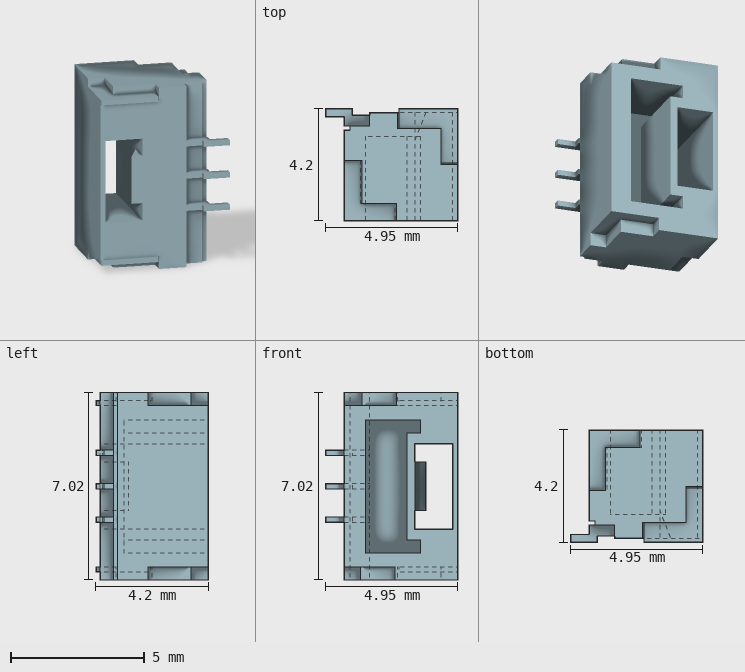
import cadquery as cq

HOUSING_WIDTH = 4.255
HOUSING_DEPTH = 4.05
HEIGHT = 7.02
MID_Z = HEIGHT / 2
OPENING_MID_Z = 3.5

NOTCH_DEPTH = 0.49
FRONT_NOTCH_WIDTH = 1.95
FRONT_NOTCH_LENGTH = 2.25
FRONT_NOTCH_SIDE_ARM = 0.67
FRONT_NOTCH_FRONT_ARM = 0.645
BOTTOM_NOTCH_SHIFT = 0.05
REAR_NOTCH_X = 1.995
REAR_NOTCH_Y = 2.105
REAR_NOTCH_INNER_X = 3.615
REAR_NOTCH_INNER_Y = 3.455

TAB_THICKNESS = 0.18
TAB_CLEARANCE = 0.053
MOUNTING_Y = 4.2

STEP_X = 0.95
STEP_Y = 3.545
GROOVE_X = 0.21
GROOVE_Y = 3.4

POCKET_LEFT = 0.79
POCKET_RIGHT = 2.85
POCKET_HEIGHT = 4.985
POCKET_DEPTH = 3.16
TONGUE_X = 2.35
TONGUE_HEIGHT = 3.99

WINDOW_LEFT = 2.64
WINDOW_RIGHT = 4.06
WINDOW_HEIGHT = 3.19
LATCH_HEIGHT = 1.825
LATCH_REACH = 0.415
LATCH_LENGTH = 1.05

PIN_PITCH = 1.25
PIN_COUNT = 3
PIN_THICKNESS = 0.205
PIN_TIP_X = -0.695
PIN_BEND_X = 0.31
PIN_TIP_Y = 3.895
PIN_SHOULDER_Y = 3.96


def box(x0, x1, y0, y1, z0, z1):
    """Box spanning the given coordinate ranges."""
    return cq.Workplane("XY").box(x1 - x0, y1 - y0, z1 - z0, centered=False).translate((x0, y0, z0))


def prism(points, z0, height):
    """Upright prism on a plan outline."""
    return cq.Workplane("XY").workplane(offset=z0).polyline(points).close().extrude(height)


def front_notch(z0, shift):
    """L-shaped cutter at the front left corner."""
    side_arm = FRONT_NOTCH_SIDE_ARM - shift
    width = FRONT_NOTCH_WIDTH - shift
    outline = [
        (0, 0),
        (width, 0),
        (width, FRONT_NOTCH_FRONT_ARM),
        (side_arm, FRONT_NOTCH_FRONT_ARM),
        (side_arm, FRONT_NOTCH_LENGTH),
        (0, FRONT_NOTCH_LENGTH),
    ]
    return prism(outline, z0, NOTCH_DEPTH)


def rear_corner(z0, height, clearance, rear_y):
    """L-shaped block at the rear right corner, for the notch and its tab."""
    left = REAR_NOTCH_X + clearance
    front = REAR_NOTCH_Y + clearance
    outline = [
        (left, rear_y),
        (left, REAR_NOTCH_INNER_Y),
        (REAR_NOTCH_INNER_X, REAR_NOTCH_INNER_Y),
        (REAR_NOTCH_INNER_X, front),
        (HOUSING_WIDTH, front),
        (HOUSING_WIDTH, rear_y),
    ]
    return prism(outline, z0, height)


def mating_pocket():
    """C-shaped pocket wrapping around a central tongue."""
    pocket = box(POCKET_LEFT, POCKET_RIGHT, 0, POCKET_DEPTH,
                 OPENING_MID_Z - POCKET_HEIGHT / 2, OPENING_MID_Z + POCKET_HEIGHT / 2)
    tongue = box(TONGUE_X, POCKET_RIGHT, 0, POCKET_DEPTH,
                 OPENING_MID_Z - TONGUE_HEIGHT / 2, OPENING_MID_Z + TONGUE_HEIGHT / 2)
    return pocket.cut(tongue)


def latch():
    """Wedge that widens toward the rear of the window."""
    outline = [
        (WINDOW_LEFT, HOUSING_DEPTH - LATCH_LENGTH),
        (WINDOW_LEFT + LATCH_REACH, HOUSING_DEPTH),
        (WINDOW_LEFT, HOUSING_DEPTH),
    ]
    return prism(outline, MID_Z - LATCH_HEIGHT / 2, LATCH_HEIGHT)


def pin(mid_z):
    """Cranked contact leaving the rear step toward the left."""
    outline = [
        (STEP_X, STEP_Y),
        (STEP_X, PIN_SHOULDER_Y),
        (PIN_BEND_X, PIN_SHOULDER_Y),
        (PIN_BEND_X, MOUNTING_Y),
        (PIN_TIP_X, MOUNTING_Y),
        (PIN_TIP_X, PIN_TIP_Y),
        (0, PIN_TIP_Y),
        (0, STEP_Y),
    ]
    return prism(outline, mid_z - PIN_THICKNESS / 2, PIN_THICKNESS)


result = box(0, HOUSING_WIDTH, 0, HOUSING_DEPTH, 0, HEIGHT)
result = result.cut(box(0, STEP_X, STEP_Y, HOUSING_DEPTH, 0, HEIGHT))
result = result.cut(box(0, GROOVE_X, GROOVE_Y, STEP_Y, 0, HEIGHT))
result = result.cut(mating_pocket())
result = result.cut(box(WINDOW_LEFT, WINDOW_RIGHT, 0, HOUSING_DEPTH,
                        OPENING_MID_Z - WINDOW_HEIGHT / 2, OPENING_MID_Z + WINDOW_HEIGHT / 2))
result = result.union(latch())

top_floor = HEIGHT - NOTCH_DEPTH
result = result.cut(front_notch(top_floor, 0))
result = result.cut(front_notch(0, BOTTOM_NOTCH_SHIFT))
for notch_z in (0, top_floor):
    result = result.cut(rear_corner(notch_z, NOTCH_DEPTH, 0, HOUSING_DEPTH))

for tab_z in (NOTCH_DEPTH - TAB_THICKNESS, top_floor):
    result = result.union(rear_corner(tab_z, TAB_THICKNESS, TAB_CLEARANCE, MOUNTING_Y))
for index in range(PIN_COUNT):
    offset = (index - (PIN_COUNT - 1) / 2) * PIN_PITCH
    result = result.union(pin(MID_Z + offset))